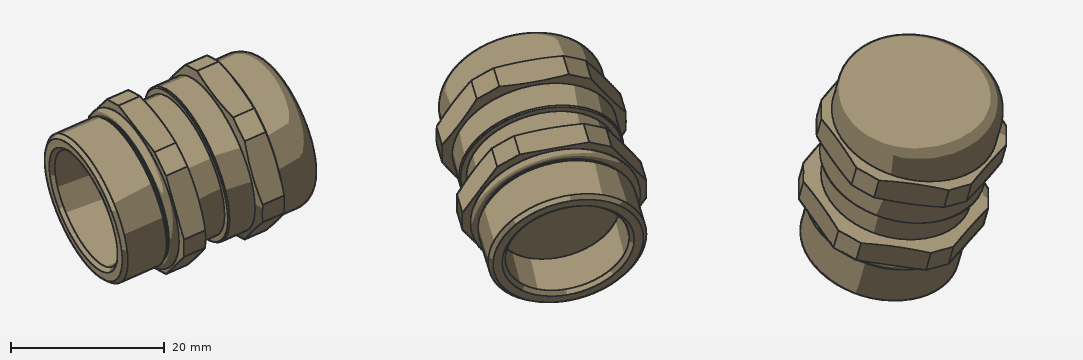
import cadquery as cq
import math

total_length = 30.0
thread_end = 6.7
body_hex_start = 8.0
body_hex_end = 11.5
cap_start = 15.45
cap_hex_start = 19.47
cap_hex_end = 23.5

thread_radius = 10.6
neck_radius = 10.02
ring_seat_radius = 10.2
cap_radius = 11.0
bore_radius = 8.28

mouth_chamfer = 0.55
thread_end_chamfer = 0.33
bore_chamfer = 0.55
cap_lip_chamfer = 0.18
dome_radius = 3.0
bore_depth = 6.0

across_flats = 23.0
across_trimmed_corners = 24.57
hex_chamfer_angle = 16.0

ring_outer_radius = 11.35
ring_bite = 0.1
ring_section_radius = (body_hex_start - thread_end) / 2


def cylinder_y(radius, start, end):
    """Solid cylinder along Y between two stations."""
    return cq.Workplane("XZ", origin=(0, start, 0)).circle(radius).extrude(start - end)


def hexagon_y(width, start, end, turn):
    """Hexagonal prism along Y, given its width across flats and its turn about Y."""
    corner_diameter = width / math.cos(math.radians(30))
    prism = cq.Workplane("XZ", origin=(0, start, 0)).polygon(6, corner_diameter).extrude(start - end)
    return prism.rotate((0, 0, 0), (0, 1, 0), turn)


def wrench_hexagon(start, end, face_radius, chamfer_start):
    """Hexagon with trimmed corners, turned conical at its +Y face and optionally its -Y face.

    Each conical turning runs outward from face_radius on the end face.
    """
    flats = hexagon_y(across_flats, start, end, 0)
    corner_trim = hexagon_y(across_trimmed_corners, start, end, 30)

    rim_radius = across_trimmed_corners / 2 / math.cos(math.radians(30))
    chamfer_length = (rim_radius - face_radius) * math.tan(math.radians(hex_chamfer_angle))
    profile = cq.Workplane("XY").moveTo(0, start)
    if chamfer_start:
        profile = profile.lineTo(face_radius, start).lineTo(rim_radius, start + chamfer_length)
    else:
        profile = profile.lineTo(rim_radius, start)
    profile = profile.lineTo(rim_radius, end - chamfer_length).lineTo(face_radius, end).lineTo(0, end)
    turned_blank = profile.close().revolve(360, (0, 0, 0), (0, 1, 0))
    return flats.intersect(corner_trim).intersect(turned_blank)


def sealing_ring():
    """O-ring seated against the body hexagon."""
    centre_radius = ring_outer_radius - ring_section_radius
    centre_y = body_hex_start + ring_bite - ring_section_radius
    section = cq.Workplane("XY").center(centre_radius, centre_y).circle(ring_section_radius)
    return section.revolve(360, (-centre_radius, 0, 0), (-centre_radius, 1, 0))


thread = cylinder_y(thread_radius, 0, thread_end)
thread = thread.faces("<Y").edges().chamfer(mouth_chamfer).faces(">Y").edges().chamfer(thread_end_chamfer)

ring_seat = cylinder_y(ring_seat_radius, thread_end, body_hex_start)
neck = cylinder_y(neck_radius, body_hex_start, cap_start)

cap = cylinder_y(cap_radius, cap_start, total_length)
cap = cap.faces("<Y").edges().chamfer(cap_lip_chamfer).faces(">Y").edges().fillet(dome_radius)

bore = cylinder_y(bore_radius, 0, bore_depth)
countersink_profile = [
    (0, 0),
    (bore_radius + bore_chamfer, 0),
    (bore_radius, bore_chamfer),
    (0, bore_chamfer),
]
countersink = cq.Workplane("XY").polyline(countersink_profile).close()
countersink = countersink.revolve(360, (0, 0, 0), (0, 1, 0))

gland = thread.union(ring_seat).union(neck).union(cap).union(sealing_ring())
gland = gland.union(wrench_hexagon(body_hex_start, body_hex_end, across_flats / 2, chamfer_start=False))
gland = gland.union(wrench_hexagon(cap_hex_start, cap_hex_end, cap_radius, chamfer_start=True))
result = gland.cut(bore).cut(countersink)